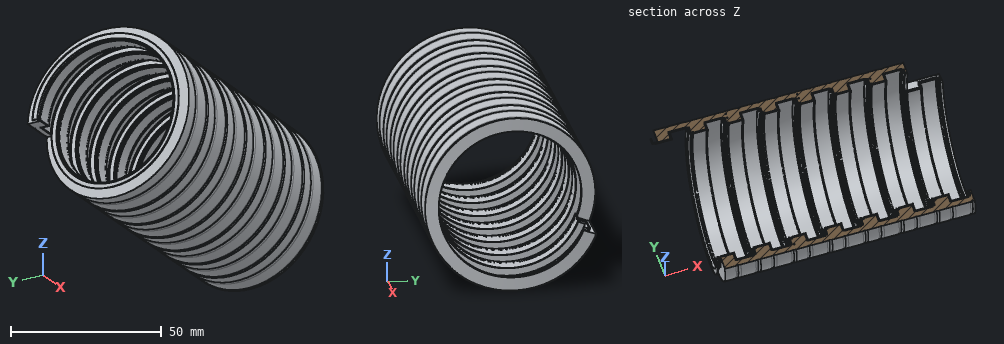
import cadquery as cq

cover_length = 98.96
cover_turns = 6.943
metal_turns = 6.948
pitch = cover_length / (cover_turns + 1)

sheet = 0.35
low_inner = 48.0 / 2
low_outer = low_inner + sheet
high_outer = 54.2 / 2
high_inner = high_outer - sheet

hook_bottom = low_inner + sheet
hook_floor = hook_bottom + sheet
hook_roof = high_inner - sheet
hook_width = 3 * sheet

lead_hook_start = -1.94
lead_hook_end = lead_hook_start + hook_width
trail_hook_start = pitch + lead_hook_start
trail_hook_end = pitch + lead_hook_end
middle_wall = 4.63

cover_radius = 58.7 / 2
groove_radius = 58.4 / 2
groove_half_width = pitch - trail_hook_end


def helix_edge(place, radius, turns):
    """Helix around Z at the given radius, starting at the given height."""
    helix = cq.Wire.makeHelix(pitch, pitch * turns, radius)
    return helix.translate(cq.Vector(0, 0, place)).Edges()[0]


def wind(outline, turns):
    """Wind an outline of (place along axis, radius) points around X as one solid strip."""
    edges = [helix_edge(place, radius, turns) for place, radius in outline]
    next_edges = edges[1:] + edges[:1]
    sides = [cq.Face.makeRuledSurface(*pair) for pair in zip(edges, next_edges)]
    start_outline = cq.Wire.makePolygon([edge.startPoint() for edge in edges], close=True)
    end_outline = cq.Wire.makePolygon([edge.endPoint() for edge in edges], close=True)
    caps = [cq.Face.makeFromWires(start_outline), cq.Face.makeFromWires(end_outline)]
    strip = cq.Solid.makeSolid(cq.Shell.makeShell(sides + caps))
    return cq.Workplane(strip.fix().rotate(cq.Vector(), cq.Vector(1, 1, 1), 120))


def make_metal_strip():
    """Sheet bent into an upward hook, low web, middle wall, high web and downward hook."""
    inside = [
        (lead_hook_start, hook_bottom),
        (lead_hook_end, hook_bottom),
        (lead_hook_end, low_inner),
        (middle_wall + sheet, low_inner),
        (middle_wall + sheet, high_inner),
        (trail_hook_start, high_inner),
        (trail_hook_start, hook_roof),
        (trail_hook_end - sheet, hook_roof),
        (trail_hook_end - sheet, hook_floor),
    ]
    outside = [
        (trail_hook_end, hook_floor),
        (trail_hook_end, high_inner),
        (trail_hook_start + sheet, high_inner),
        (trail_hook_start + sheet, high_outer),
        (middle_wall, high_outer),
        (middle_wall, low_outer),
        (lead_hook_end + sheet, low_outer),
        (lead_hook_end + sheet, hook_floor),
        (lead_hook_start + sheet, hook_floor),
        (lead_hook_start + sheet, hook_roof),
        (lead_hook_start, hook_roof),
    ]
    return wind(inside + outside, metal_turns)


def make_cover():
    """Outer strip that fills the metal strip's channel; its edges meet turn against turn."""
    inside = [
        (0, low_outer),
        (middle_wall, low_outer),
        (middle_wall, high_outer),
        (trail_hook_start + sheet, high_outer),
        (trail_hook_start + sheet, high_inner),
        (trail_hook_end, high_inner),
        (trail_hook_end, hook_floor),
        (pitch, hook_floor),
    ]
    outside = [
        (pitch, cover_radius),
        (trail_hook_end, groove_radius),
        (trail_hook_end - groove_half_width, cover_radius),
        (middle_wall + groove_half_width, cover_radius),
        (middle_wall, groove_radius),
        (middle_wall - groove_half_width, cover_radius),
        (0, cover_radius),
    ]
    return wind(inside + outside, cover_turns)


metal_strip = make_metal_strip()
cover = make_cover()

result = cq.Compound.makeCompound([cover.val(), metal_strip.val()])